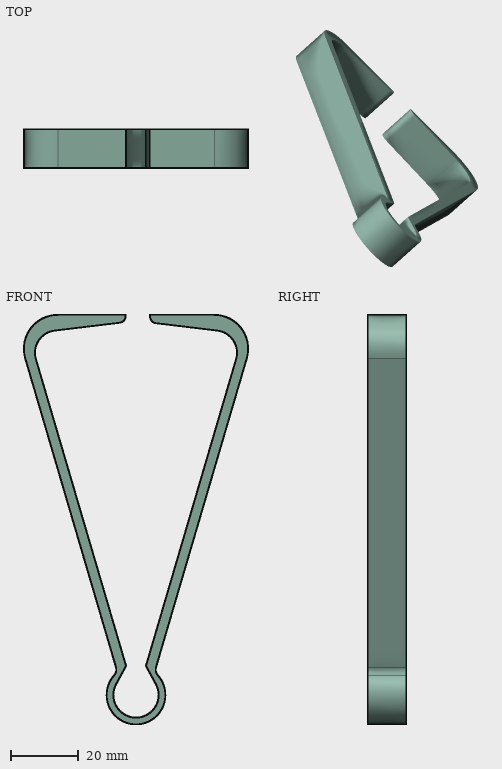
import cadquery as cq
import math

total_height = 120.8
strip_width = 11.5
half_span = 33.1

ring_outer_radius = 8.7
ring_wall = 2.0
ring_inner_radius = ring_outer_radius - ring_wall
ring_center = (0.0, ring_outer_radius)

neck_half_gap = 2.9
neck_height = 17.3
neck_fillet = 2.4

leg_thickness = 3.0
bend_outer_radius = 10.0
bend_inner_radius = 6.5
bend_center = (half_span - bend_outer_radius, total_height - bend_outer_radius)

long_jaw_gap = 3.0
short_jaw_gap = 4.1
jaw_tip_thickness = 2.2
jaw_taper = 6.9
jaw_tip_fillet = 2.0


def polar(center, radius, angle):
    """Point on a circle at an angle in radians from +X towards +Z."""
    return (center[0] + radius * math.cos(angle), center[1] + radius * math.sin(angle))


def tangent_angle(point, center, radius, side):
    """Angle on a circle where a line from the point touches it; side is +1 or -1."""
    dx = point[0] - center[0]
    dz = point[1] - center[1]
    return math.atan2(dz, dx) + side * math.acos(radius / math.hypot(dx, dz))


neck_corner = (neck_half_gap, neck_height)
leg_face_radius = bend_outer_radius - leg_thickness
leg_normal = tangent_angle(neck_corner, bend_center, leg_face_radius, 1)
leg_inner_end = polar(bend_center, leg_face_radius, leg_normal)
leg_outer_end = polar(bend_center, bend_outer_radius, leg_normal)
leg_slope = (leg_inner_end[1] - neck_height) / (leg_inner_end[0] - neck_half_gap)

leg_ring_distance = (
    (leg_outer_end[0] - ring_center[0]) * math.cos(leg_normal)
    + (leg_outer_end[1] - ring_center[1]) * math.sin(leg_normal)
)
ring_joint_angle = leg_normal + math.acos(leg_ring_distance / ring_outer_radius)
ring_joint = polar(ring_center, ring_outer_radius, ring_joint_angle)

bore_joint_angle = tangent_angle(neck_corner, ring_center, ring_inner_radius, -1)
bore_joint = polar(ring_center, ring_inner_radius, bore_joint_angle)

jaw_slope = -math.tan(math.radians(jaw_taper))


def jaw_underside(x):
    """Height of the tapered lower jaw face at a distance x from the YZ plane."""
    return total_height - jaw_tip_thickness + jaw_slope * (x - long_jaw_gap)


inner_corner_x = (
    (jaw_underside(0.0) - neck_height + leg_slope * neck_half_gap) / (leg_slope - jaw_slope)
)
inner_corner = (inner_corner_x, jaw_underside(inner_corner_x))

short_jaw_tip = (short_jaw_gap, jaw_underside(short_jaw_gap))
long_jaw_tip = (-long_jaw_gap, jaw_underside(long_jaw_gap))


def mirrored(point):
    """The matching profile point on the -X side."""
    return (-point[0], point[1])


def corner_edge(point):
    """Selector for the edge along Y that passes through a profile point."""
    return cq.selectors.NearestToPointSelector((point[0], 0.0, point[1]))


def sharp_tongs():
    """The whole strip with sharp corners, drawn around its outline from the -X ring joint."""
    ring_bottom = (0.0, 0.0)
    bore_bottom = (0.0, ring_wall)
    bend_middle = polar(bend_center, bend_outer_radius, (leg_normal + math.pi / 2) / 2)
    bend_top = (bend_center[0], total_height)
    return (
        cq.Workplane("XZ")
        .moveTo(*mirrored(ring_joint))
        .threePointArc(ring_bottom, ring_joint)
        .lineTo(*leg_outer_end)
        .threePointArc(bend_middle, bend_top)
        .lineTo(short_jaw_gap, total_height)
        .lineTo(*short_jaw_tip)
        .lineTo(*inner_corner)
        .lineTo(*neck_corner)
        .lineTo(*bore_joint)
        .threePointArc(bore_bottom, mirrored(bore_joint))
        .lineTo(*mirrored(neck_corner))
        .lineTo(*mirrored(inner_corner))
        .lineTo(*long_jaw_tip)
        .lineTo(-long_jaw_gap, total_height)
        .lineTo(*mirrored(bend_top))
        .threePointArc(mirrored(bend_middle), mirrored(leg_outer_end))
        .close()
        .extrude(strip_width / 2, both=True)
    )


def round_corners(tongs):
    """Round the neck, inner bend and jaw tip corners."""
    rounded_corners = (
        (ring_joint, neck_fillet),
        (mirrored(ring_joint), neck_fillet),
        (inner_corner, bend_inner_radius),
        (mirrored(inner_corner), bend_inner_radius),
        (short_jaw_tip, jaw_tip_fillet),
        (long_jaw_tip, jaw_tip_fillet),
    )
    for corner, radius in rounded_corners:
        tongs = tongs.edges("|Y").edges(corner_edge(corner)).fillet(radius)
    return tongs


result = round_corners(sharp_tongs())